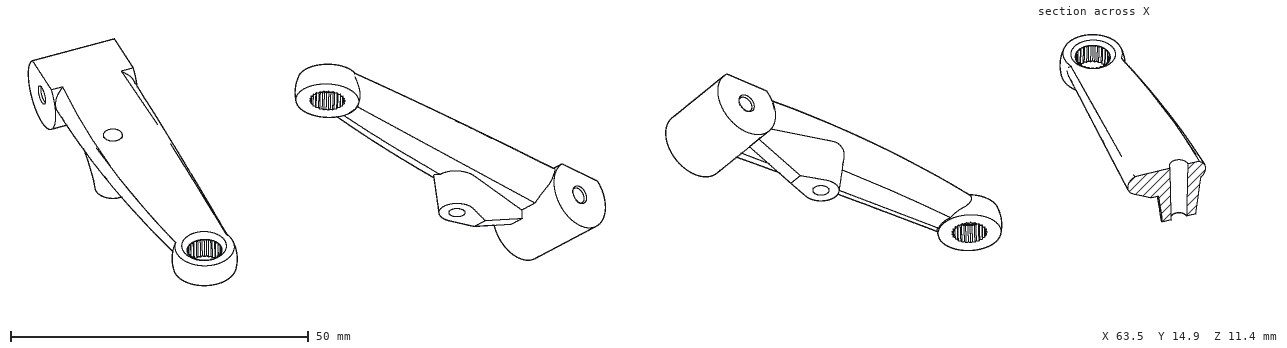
import cadquery as cq
import math


TOTAL_LENGTH = 63.45
TOTAL_HEIGHT = 11.35
MARGIN = 0.65

HINGE_RADIUS = 12.0 / 2
HINGE_WIDTH = 14.9
HINGE_HEIGHT = 10.35
TOP_Z = HINGE_HEIGHT - HINGE_RADIUS
PIN_BORE_DIA = 2.7
PIN_MOUTH_DIA = 3.2
PIN_MOUTH_DEPTH = 0.4

ARM_ROOT_X = 3.95
ARM_MIDDLE_X = 26.65

RING_RADIUS = 11.0 / 2
RING_TOP_RADIUS = 9.95 / 2
RING_BOTTOM_RADIUS = 10.6 / 2
RING_HEIGHT = 4.25
RING_WAIST_DEPTH = 2.6
RING_TILT = 2.5
RING_SHOULDER_STEP = 0.25
RING_X = TOTAL_LENGTH - HINGE_RADIUS - RING_RADIUS
RING_Y = 0.5

SPLINE_TEETH = 25
SPLINE_ROOT_DIA = 5.9
SPLINE_TIP_DIA = 5.45
SPLINE_MOUTH_DIA = 7.5
SPLINE_MOUTH_DEPTH = 0.75

BOSS_X = 19.05
BOSS_Y = -2.5
BOSS_RADIUS = 3.05
BOSS_DRAFT = 7.0
BOSS_BOTTOM_Z = TOP_Z - TOTAL_HEIGHT
BOSS_HOLE_TOP_DIA = 3.2
BOSS_HOLE_BOTTOM_DIA = 2.7
BOSS_TOP_Z = 1.4
WEB_SLOPE = 24.5
WEB_BOTTOM_X = 13.8
WEB_BOTTOM_LEAN = 19.5
WEB_TOP_LEAN = 6.7


def arm_section(x, top, bevel, bulge, flank, keel, bulge_depth, flank_depth, keel_depth):
    """Cross-section at x: flat top with bevelled edges, rounded sides, sloped keel underneath.

    top, bulge, flank and keel each hold the -Y and +Y positions; the depths are below the top.
    bevel holds the width and depth of the bevel along both top edges.
    """
    bevel_z = TOP_Z - bevel[1]
    bulge_z = TOP_Z - bulge_depth
    flank_z = TOP_Z - flank_depth
    keel_z = TOP_Z - keel_depth
    return (
        cq.Workplane("YZ", origin=(x, 0, 0))
        .moveTo(top[0], TOP_Z)
        .lineTo(top[1], TOP_Z)
        .lineTo(top[1] + bevel[0], bevel_z)
        .threePointArc((bulge[1], bulge_z), (flank[1], flank_z))
        .lineTo(keel[1], keel_z)
        .lineTo(keel[0], keel_z)
        .lineTo(flank[0], flank_z)
        .threePointArc((bulge[0], bulge_z), (top[0] - bevel[0], bevel_z))
        .close()
        .wires()
        .val()
    )


def make_hinge():
    barrel = cq.Workplane("XZ").circle(HINGE_RADIUS).extrude(HINGE_WIDTH / 2, both=True)
    above = cq.Workplane("XY", origin=(0, 0, TOP_Z)).box(
        3 * HINGE_RADIUS, 2 * HINGE_WIDTH, HINGE_RADIUS, centered=(True, True, False)
    )
    return barrel.cut(above)


def make_arm():
    root = arm_section(
        x=ARM_ROOT_X,
        top=(-5.4, 5.25),
        bevel=(0.7, 0.5),
        bulge=(-7.25, 7.2),
        flank=(-5.7, 5.7),
        keel=(-2.55, 2.55),
        bulge_depth=2.3,
        flank_depth=4.7,
        keel_depth=6.3,
    )
    middle = arm_section(
        x=ARM_MIDDLE_X,
        top=(-5.95, 5.5),
        bevel=(0.05, 0.05),
        bulge=(-6.9, 6.55),
        flank=(-5.6, 5.3),
        keel=(-2.55, 2.55),
        bulge_depth=1.8,
        flank_depth=3.6,
        keel_depth=5.2,
    )
    tip = arm_section(
        x=RING_X,
        top=(-3.0, 5.0),
        bevel=(0.05, 0.05),
        bulge=(-3.5, 5.6),
        flank=(-2.55, 4.75),
        keel=(-0.5, 2.55),
        bulge_depth=1.4,
        flank_depth=2.9,
        keel_depth=4.0,
    )
    return cq.Workplane(cq.Solid.makeLoft([root, middle, tip]))


def tilt_ring(body):
    """Move a body built around Z, with its top at Z = 0, to the leaning ring position."""
    placed = body.translate((RING_X, RING_Y, TOP_Z))
    pivot_z = TOP_Z - RING_WAIST_DEPTH
    return placed.rotate((RING_X, RING_Y, pivot_z), (RING_X, RING_Y + 0.65, pivot_z), -RING_TILT)


def make_ring():
    blank = (
        cq.Workplane("XZ")
        .moveTo(0, MARGIN)
        .lineTo(RING_TOP_RADIUS - RING_SHOULDER_STEP, MARGIN)
        .lineTo(RING_TOP_RADIUS, 0)
        .threePointArc((RING_RADIUS, -RING_WAIST_DEPTH), (RING_BOTTOM_RADIUS, -RING_HEIGHT))
        .lineTo(0, -RING_HEIGHT)
        .close()
        .revolve(360, (0, 0, 0), (0, 1, 0))
    )
    above = cq.Workplane("XY", origin=(RING_X, RING_Y, TOP_Z)).box(
        4 * RING_RADIUS, 4 * RING_RADIUS, 2 * MARGIN, centered=(True, True, False)
    )
    return tilt_ring(blank).cut(above)


def make_spline_bore():
    pitch = 360 / SPLINE_TEETH
    points = []
    for tooth in range(SPLINE_TEETH):
        for radius, offset in ((SPLINE_TIP_DIA / 2, 0), (SPLINE_ROOT_DIA / 2, pitch / 2)):
            angle = math.radians(tooth * pitch + offset)
            points.append((radius * math.cos(angle), radius * math.sin(angle)))
    bore = (
        cq.Workplane("XY", origin=(0, 0, -RING_HEIGHT - MARGIN))
        .polyline(points)
        .close()
        .extrude(RING_HEIGHT + 2 * MARGIN)
    )
    wall_slope = (SPLINE_MOUTH_DIA - SPLINE_ROOT_DIA) / 2 / SPLINE_MOUTH_DEPTH
    mouth = cq.Workplane(
        cq.Solid.makeCone(
            SPLINE_ROOT_DIA / 2,
            SPLINE_MOUTH_DIA / 2 + MARGIN * wall_slope,
            SPLINE_MOUTH_DEPTH + MARGIN,
            pnt=cq.Vector(0, 0, -SPLINE_MOUTH_DEPTH),
        )
    )
    return tilt_ring(bore.union(mouth))


def boss_section(z, radius, start_x, lean):
    """Teardrop outline: round boss end with straight sides closing in by lean toward the hinge."""
    lean_angle = math.radians(lean)
    tangent_x = BOSS_X - radius * math.sin(lean_angle)
    tangent_y = radius * math.cos(lean_angle)
    start_y = tangent_y - (tangent_x - start_x) * math.tan(lean_angle)
    return (
        cq.Workplane("XY", origin=(0, 0, z))
        .moveTo(start_x, BOSS_Y - start_y)
        .lineTo(tangent_x, BOSS_Y - tangent_y)
        .threePointArc((BOSS_X + radius, BOSS_Y), (tangent_x, BOSS_Y + tangent_y))
        .lineTo(start_x, BOSS_Y + start_y)
        .close()
        .wires()
        .val()
    )


def make_boss():
    """Drafted boss with a web to the hinge; the start edges of the outlines set the web's slope."""
    height = BOSS_TOP_Z - BOSS_BOTTOM_Z
    top_radius = BOSS_RADIUS + height * math.tan(math.radians(BOSS_DRAFT))
    top_start_x = WEB_BOTTOM_X - height / math.tan(math.radians(WEB_SLOPE))
    bottom = boss_section(BOSS_BOTTOM_Z, BOSS_RADIUS, WEB_BOTTOM_X, WEB_BOTTOM_LEAN)
    top = boss_section(BOSS_TOP_Z, top_radius, top_start_x, WEB_TOP_LEAN)
    return cq.Workplane(cq.Solid.makeLoft([bottom, top], True))


def make_pin_bore():
    bore = cq.Workplane("XZ").circle(PIN_BORE_DIA / 2).extrude(HINGE_WIDTH / 2, both=True)
    for side in (-1, 1):
        mouth = cq.Solid.makeCone(
            PIN_MOUTH_DIA / 2,
            PIN_BORE_DIA / 2,
            PIN_MOUTH_DEPTH,
            pnt=cq.Vector(0, side * HINGE_WIDTH / 2, 0),
            dir=cq.Vector(0, -side, 0),
        )
        bore = bore.union(cq.Workplane(mouth))
    return bore


def make_boss_hole():
    return cq.Workplane(
        cq.Solid.makeCone(
            BOSS_HOLE_BOTTOM_DIA / 2,
            BOSS_HOLE_TOP_DIA / 2,
            TOTAL_HEIGHT,
            pnt=cq.Vector(BOSS_X, BOSS_Y, BOSS_BOTTOM_Z),
        )
    )


body = make_hinge().union(make_arm()).union(make_ring()).union(make_boss())
result = body.cut(make_spline_bore()).cut(make_pin_bore()).cut(make_boss_hole())